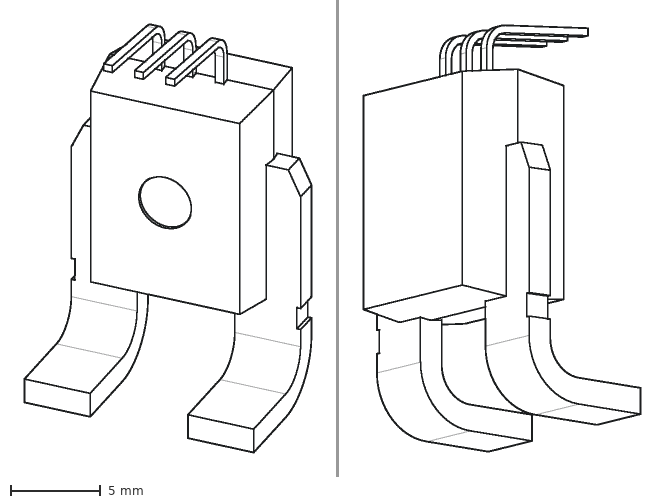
import cadquery as cq
import math

overall_width = 14.0
overall_height = 22.6
lead_reach = 7.07

housing_width = 10.0
housing_height = 13.01
housing_bottom = 6.0
front_depth = 3.57
rear_depth = 3.52
face_inset = 0.45
housing_mid_z = housing_bottom + housing_height / 2
housing_top = housing_bottom + housing_height
dimple_diameter = 3.2
dimple_depth = 0.2

terminal_width = 4.02
terminal_thickness = 1.5
terminal_rear = 0.72
terminal_top = 14.62
terminal_inner_radius = 2.0
terminal_droop = 1.0
corner_run = 0.75
corner_drop = 1.54
notch_depth = 0.23
notch_height = 1.33
notch_top = 5.99

pin_count = 3
pin_pitch = 1.9
pin_width = 0.55
pin_thickness = 0.43
pin_outer_radius = 1.4
pin_rise = 5.0
pin_socket_depth = 1.0


def bent_strip(rear, thickness, root_z, bend_z, inner_radius, tilt, side, width):
    """Strip centred on X = 0 that leaves root_z vertically and bends to a tilted leg.

    side is +1 for a bend at the upper end and -1 for one at the lower end;
    tilt is the angle in degrees by which the leg rises above horizontal towards its tip.
    """
    front = rear - thickness
    outer_radius = inner_radius + thickness
    centre_y = front - inner_radius
    turn = math.radians(90 - side * tilt)

    def on_bend(radius, angle):
        return (centre_y + radius * math.cos(angle), bend_z + side * radius * math.sin(angle))

    def at_tip(bend_end):
        run = bend_end[0] + lead_reach
        return (-lead_reach, bend_end[1] + run * math.tan(math.radians(tilt)))

    outer_end = on_bend(outer_radius, turn)
    inner_end = on_bend(inner_radius, turn)
    return (
        cq.Workplane("YZ")
        .moveTo(rear, root_z)
        .lineTo(rear, bend_z)
        .threePointArc(on_bend(outer_radius, turn / 2), outer_end)
        .lineTo(*at_tip(outer_end))
        .lineTo(*at_tip(inner_end))
        .lineTo(*inner_end)
        .threePointArc(on_bend(inner_radius, turn / 2), (front, bend_z))
        .lineTo(front, root_z)
        .close()
        .extrude(width / 2, both=True)
    )


def leg_height(radius, centre_y, turn, slope):
    """Vertical distance from the bend centre to the tip of a leg, along the outer surface."""
    bend_end_y = centre_y + radius * math.cos(turn)
    return radius * math.sin(turn) + (bend_end_y + lead_reach) * math.tan(slope)


def make_terminal(side):
    """Terminal on the +X (side = 1) or -X (side = -1) flank."""
    outer_radius = terminal_inner_radius + terminal_thickness
    droop = math.radians(terminal_droop)
    bend_z = leg_height(
        outer_radius, terminal_rear - outer_radius, math.pi / 2 - droop, droop
    )
    outer_x = overall_width / 2
    strap = bent_strip(
        terminal_rear, terminal_thickness, terminal_top, bend_z,
        terminal_inner_radius, -terminal_droop, -1, terminal_width,
    ).translate((outer_x - terminal_width / 2, 0, 0))
    corner = (
        cq.Workplane("XZ")
        .polyline([
            (outer_x, terminal_top),
            (outer_x - corner_run, terminal_top),
            (outer_x, terminal_top - corner_drop),
        ])
        .close()
        .extrude(terminal_thickness, both=True)
    )
    notch = cq.Workplane("XY").box(2 * notch_depth, 2 * terminal_thickness, notch_height).translate(
        (outer_x, 0, notch_top - notch_height / 2)
    )
    terminal = strap.cut(corner).cut(notch)
    return terminal if side > 0 else terminal.mirror("YZ")


def make_pin(index):
    """Signal pin whose rear face lies on the parting plane."""
    rise = math.radians(pin_rise)
    bend_z = overall_height - leg_height(
        pin_outer_radius, -pin_outer_radius, math.pi / 2 - rise, rise
    )
    return bent_strip(
        0, pin_thickness, housing_top - pin_socket_depth, bend_z,
        pin_outer_radius - pin_thickness, pin_rise, 1, pin_width,
    ).translate(((index - (pin_count - 1) / 2) * pin_pitch, 0, 0))


def make_shell(depth, direction):
    """Tapered housing shell from the parting plane towards direction * Y."""
    return (
        cq.Workplane("XZ", origin=(0, 0, housing_mid_z))
        .rect(housing_width, housing_height)
        .workplane(offset=-direction * depth)
        .rect(housing_width - 2 * face_inset, housing_height - 2 * face_inset)
        .loft(ruled=True)
    )


terminals = [make_terminal(side) for side in (-1, 1)]
pins = [make_pin(index) for index in range(pin_count)]

front_shell = make_shell(front_depth, -1)
rear_shell = make_shell(rear_depth, 1)

dimple = (
    cq.Workplane("XZ", origin=(0, -front_depth, housing_mid_z))
    .circle(dimple_diameter / 2)
    .extrude(-dimple_depth)
)
front_shell = front_shell.cut(dimple)

for terminal in terminals:
    front_shell = front_shell.cut(terminal)
    rear_shell = rear_shell.cut(terminal)
for pin in pins:
    front_shell = front_shell.cut(pin)

leads = [lead.val() for lead in terminals + pins]
result = cq.Compound.makeCompound([front_shell.val(), rear_shell.val(), *leads])